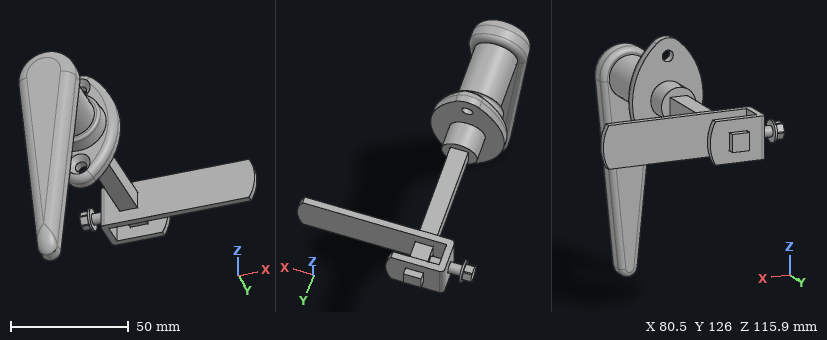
import cadquery as cq
import math


lever_head_radius = 12.85
lever_tip_radius = 4.35
lever_tip_center_z = -84.5
lever_back_y = -39.0
lever_thickness = 12.0
lever_front_round = 5.2
lever_back_round = 2.5

shank_radius = 9.6
stub_radius = 8.0
stub_end_y = 11.0
rod_width = 8.0
rod_end_y = 75.0

rosette_thickness = 6.6
rosette_half_width = 16.5
rosette_end_radius = 8.0
rosette_hole_z = 19.0
rosette_round = 3.4
rosette_hole_diameter = 5.0
countersink_diameter = 10.0
countersink_angle = 90.0
collar_end_y = -14.0
collar_base_radius = 12.3
collar_end_radius = 11.85
collar_round = 1.3

cam_thickness = 3.0
cam_height = 19.3
cam_front_y = 55.75
cam_back_y = 72.0
cam_web_x = -13.0
cam_long_end_x = 56.8
cam_short_end_x = 13.0
cam_bend_radius = 1.8
cam_end_radius = 20.0

screw_center_y = (cam_front_y + cam_back_y) / 2
screw_head_x = -23.67
screw_flange_x = -19.8
screw_flange_thickness = 1.0
screw_flange_diameter = 10.0
screw_diameter = 5.0
screw_hex_flats = 7.2
screw_hex_corner_diameter = 8.0
screw_tip_gap = 0.25
screw_tip_x = -rod_width / 2 - screw_tip_gap


def disc_along_y(radius, y_start, y_end):
    """Cylinder on the handle axis between two Y positions."""
    return cq.Workplane("XZ", origin=(0, y_start, 0)).circle(radius).extrude(y_start - y_end)


def cylinder_along_x(diameter, x_start, x_end):
    """Cylinder on the screw axis between two X positions."""
    plane = cq.Workplane("YZ", origin=(x_start, screw_center_y, 0))
    return plane.circle(diameter / 2).extrude(x_end - x_start)


def make_lever():
    """Tapered arm between two arcs, rounded more on the front than on the back."""
    taper_sine = (lever_head_radius - lever_tip_radius) / -lever_tip_center_z
    taper_cosine = math.sqrt(1 - taper_sine**2)
    head_x = lever_head_radius * taper_cosine
    head_z = -lever_head_radius * taper_sine
    tip_x = lever_tip_radius * taper_cosine
    tip_z = lever_tip_center_z - lever_tip_radius * taper_sine
    lever = (
        cq.Workplane("XZ", origin=(0, lever_back_y, 0))
        .moveTo(-head_x, head_z)
        .threePointArc((0, lever_head_radius), (head_x, head_z))
        .lineTo(tip_x, tip_z)
        .threePointArc((0, lever_tip_center_z - lever_tip_radius), (-tip_x, tip_z))
        .close()
        .extrude(lever_thickness)
    )
    lever = lever.faces(">Y").edges().fillet(lever_back_round)
    return lever.faces("<Y").edges().fillet(lever_front_round)


def make_rosette():
    """Pointed oval plate with rounded front rim, tapered collar and countersunk holes."""
    reach = rosette_half_width - rosette_end_radius
    side_offset = (rosette_hole_z**2 - reach**2) / (2 * reach)
    center_gap = side_offset + reach
    join_x = rosette_end_radius * side_offset / center_gap
    join_z = rosette_hole_z + rosette_end_radius * rosette_hole_z / center_gap
    end_z = rosette_hole_z + rosette_end_radius
    plate = (
        cq.Workplane("XZ")
        .moveTo(-join_x, join_z)
        .threePointArc((0, end_z), (join_x, join_z))
        .threePointArc((rosette_half_width, 0), (join_x, -join_z))
        .threePointArc((0, -end_z), (-join_x, -join_z))
        .threePointArc((-rosette_half_width, 0), (-join_x, join_z))
        .close()
        .extrude(rosette_thickness)
        .faces("<Y").edges().fillet(rosette_round)
    )
    collar = (
        cq.Workplane("XZ", origin=(0, -rosette_thickness, 0))
        .circle(collar_base_radius)
        .workplane(offset=-rosette_thickness - collar_end_y)
        .circle(collar_end_radius)
        .loft()
        .faces("<Y").edges().fillet(collar_round)
    )
    holes = (
        cq.Workplane("XZ", origin=(0, -rosette_thickness, 0))
        .pushPoints([(0, rosette_hole_z), (0, -rosette_hole_z)])
        .circle(rosette_hole_diameter / 2)
        .extrude(-rosette_thickness)
    )
    plate = plate.cut(holes)
    sink_depth = countersink_diameter / 2 / math.tan(math.radians(countersink_angle / 2))
    for z in (rosette_hole_z, -rosette_hole_z):
        sink = cq.Solid.makeCone(
            countersink_diameter / 2, 0, sink_depth,
            cq.Vector(0, -rosette_thickness, z), cq.Vector(0, 1, 0),
        )
        plate = plate.cut(cq.Workplane(sink))
    return plate.union(collar)


def make_rod():
    """Square rod from the rosette back plane to its free end."""
    return cq.Workplane("XZ").rect(rod_width, rod_width).extrude(-rod_end_y)


def make_handle():
    """Lever, shank, rosette, rear stub and rod as one body."""
    shank = disc_along_y(shank_radius, lever_back_y - lever_back_round, 0)
    stub = disc_along_y(stub_radius, -rosette_thickness, stub_end_y)
    return make_lever().union(shank).union(make_rosette()).union(stub).union(make_rod())


def make_arm(end_x, y_front):
    """One cam arm with a shallow arc at its free end."""
    half_height = cam_height / 2
    corner_x = end_x - cam_end_radius + math.sqrt(cam_end_radius**2 - half_height**2)
    return (
        cq.Workplane("XZ", origin=(0, y_front, 0))
        .moveTo(cam_web_x, half_height)
        .lineTo(corner_x, half_height)
        .threePointArc((end_x, 0), (corner_x, -half_height))
        .lineTo(cam_web_x, -half_height)
        .close()
        .extrude(-cam_thickness)
    )


def make_cam():
    """U-shaped cam with a square hole for the rod and a round hole for the screw."""
    web = cq.Workplane("XY").box(
        cam_thickness, cam_back_y - cam_front_y, cam_height, centered=(False, False, True)
    ).translate((cam_web_x, cam_front_y, 0))
    long_arm = make_arm(cam_long_end_x, cam_front_y)
    short_arm = make_arm(cam_short_end_x, cam_back_y - cam_thickness)
    cam = web.union(long_arm).union(short_arm)
    cam = cam.edges("|Z and <X").fillet(cam_bend_radius)
    return cam.cut(make_rod()).cut(cylinder_along_x(screw_diameter, screw_head_x, screw_tip_x))


def make_screw():
    """Flanged hexagon screw with its flats facing up and down."""
    head_length = screw_flange_x - screw_head_x
    hexagon = (
        cq.Workplane("YZ", origin=(screw_head_x, screw_center_y, 0))
        .transformed(rotate=(0, 0, 90))
        .polygon(6, screw_hex_flats, circumscribed=True)
        .extrude(head_length)
    )
    head = hexagon.intersect(cylinder_along_x(screw_hex_corner_diameter, screw_head_x, screw_flange_x))
    flange = cylinder_along_x(
        screw_flange_diameter, screw_flange_x, screw_flange_x + screw_flange_thickness
    )
    return head.union(flange).union(cylinder_along_x(screw_diameter, screw_flange_x, screw_tip_x))


handle = make_handle()
cam = make_cam()
screw = make_screw()

result = cq.Compound.makeCompound([handle.val(), cam.val(), screw.val()])